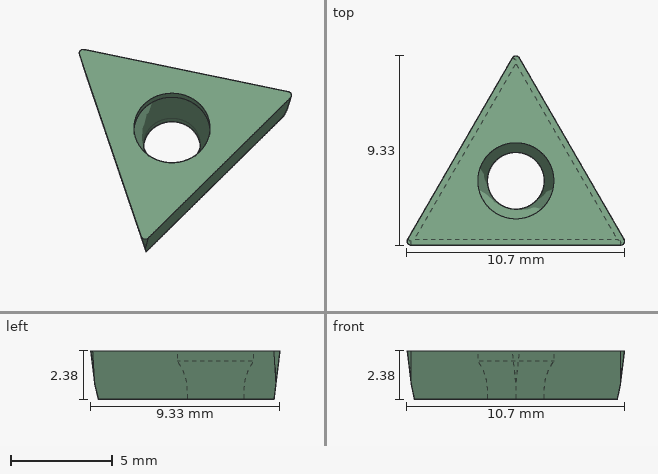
import cadquery as cq
import math

overall_width = 10.71
thickness = 2.38
nose_radius = 0.2
clearance_angle = 7.0

mouth_radius = 1.87
mouth_depth = 0.49
bore_radius = 1.39
seat_bottom_depth = 1.95

nose_inner_radius = (overall_width / 2 - nose_radius) / math.sqrt(3)
inscribed_radius = nose_inner_radius + nose_radius
nose_center_distance = 2 * nose_inner_radius
nose_depth = nose_radius / math.tan(math.radians(clearance_angle))
corner_angles = (90, 210, 330)


def polar(radius, angle, center=(0, 0)):
    turn = math.radians(angle)
    return (center[0] + radius * math.cos(turn), center[1] + radius * math.sin(turn))


def tapered_body():
    corners = [polar(2 * inscribed_radius, angle) for angle in corner_angles]
    return cq.Workplane("XY").polyline(corners).close().extrude(-thickness, taper=clearance_angle)


def pyramid(base_points, apex):
    """Solid with a flat base polygon and triangular sides meeting at the apex."""
    base = [cq.Vector(x, y, 0) for x, y in base_points]
    faces = [cq.Face.makeFromWires(cq.Wire.makePolygon(base, close=True))]
    for start, end in zip(base, base[1:] + base[:1]):
        faces.append(cq.Face.makeFromWires(cq.Wire.makePolygon([start, end, apex], close=True)))
    return cq.Solid.makeSolid(cq.Shell.makeShell(faces))


def round_nose(body, angle):
    """Replace one sharp corner by a cone that shrinks to the sharp edge at nose_depth."""
    center = polar(nose_center_distance, angle)
    reach = 4 * nose_radius
    outline = [
        center,
        polar(reach, angle - 60, center),
        polar(reach, angle, center),
        polar(reach, angle + 60, center),
    ]
    wedge = cq.Workplane(pyramid(outline, cq.Vector(*center, -nose_depth)))
    cone = cq.Workplane(
        cq.Solid.makeCone(nose_radius, 0, nose_depth, cq.Vector(*center, 0), cq.Vector(0, 0, -1))
    )
    return body.cut(wedge).union(cone.intersect(wedge))


def screw_hole():
    """Straight mouth, convex seat, then a straight bore tangent to it."""
    seat_width = mouth_radius - bore_radius
    seat_height = seat_bottom_depth - mouth_depth
    seat_radius = (seat_width**2 + seat_height**2) / (2 * seat_width)
    half_sweep = math.atan2(seat_width, seat_height)
    seat_middle = (
        bore_radius + seat_radius * (1 - math.cos(half_sweep)),
        -seat_bottom_depth + seat_radius * math.sin(half_sweep),
    )
    return (
        cq.Workplane("XZ")
        .lineTo(mouth_radius, 0)
        .lineTo(mouth_radius, -mouth_depth)
        .threePointArc(seat_middle, (bore_radius, -seat_bottom_depth))
        .lineTo(bore_radius, -thickness)
        .lineTo(0, -thickness)
        .close()
        .revolve(360, (0, 0, 0), (0, 1, 0))
    )


result = tapered_body()
for corner_angle in corner_angles:
    result = round_nose(result, corner_angle)
result = result.cut(screw_hole())